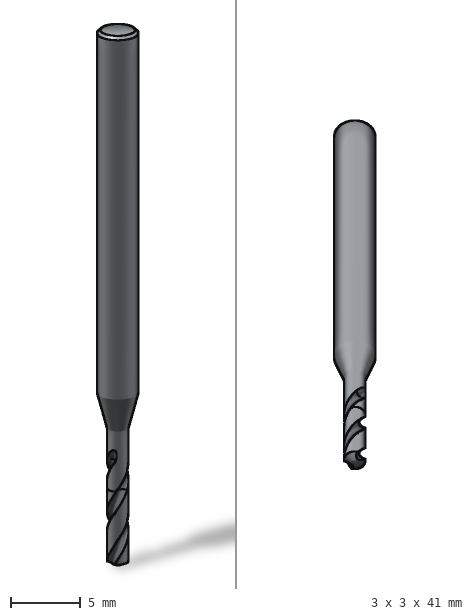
import cadquery as cq
import math

TOTAL_LENGTH = 41.0
SHANK_RADIUS = 3.0 / 2
SHANK_CHAMFER = 0.25
SHANK_BOTTOM = 13.25
NECK_TOP = 10.55
DRILL_RADIUS = 1.55 / 2
HEAD_TOP = 5.95
POINT_HEIGHT = 0.35

FLUTE_COUNT = 2
FLUTE_PITCH = 7.8
FLUTE_TIP_ANGLE = 93.0
FLUTE_RADIUS = 0.45
FLUTE_TOP = 8.2
FLUTE_OVERSHOOT = 0.4
RUNOUT_LENGTH = 0.9
RUNOUT_CUTTER_LENGTH = 2 * RUNOUT_LENGTH


def flute_angle(z):
    """Angle of the first flute about Z at height z, in degrees."""
    return FLUTE_TIP_ANGLE + 360 * z / FLUTE_PITCH


def flute_centre(angle, z):
    a = math.radians(angle)
    return cq.Vector(DRILL_RADIUS * math.cos(a), DRILL_RADIUS * math.sin(a), z)


def flute_section(angle, z):
    circle = cq.Edge.makeCircle(FLUTE_RADIUS, flute_centre(angle, z), cq.Vector(0, 0, 1))
    return cq.Wire.assembleEdges([circle])


def make_helical_flute(offset):
    """Full-depth flute from below the tip to FLUTE_TOP."""
    bottom = -FLUTE_OVERSHOOT
    centre = flute_centre(flute_angle(bottom) + offset, bottom)
    length = FLUTE_TOP - bottom
    return (
        cq.Workplane("XY", origin=(0, 0, bottom))
        .center(centre.x, centre.y)
        .circle(FLUTE_RADIUS)
        .center(-centre.x, -centre.y)
        .twistExtrude(length, 360 * length / FLUTE_PITCH)
    )


def make_runout(offset):
    """Straight continuation of a flute that leans outward until it leaves the neck."""
    angle = flute_angle(FLUTE_TOP) + offset
    a = math.radians(angle)
    radial = cq.Vector(math.cos(a), math.sin(a), 0)
    tangent = cq.Vector(-math.sin(a), math.cos(a), 0)
    sideways = 2 * math.pi * DRILL_RADIUS / FLUTE_PITCH * RUNOUT_LENGTH
    clear_distance = DRILL_RADIUS + FLUTE_RADIUS
    outward = math.sqrt(clear_distance ** 2 - sideways ** 2) - DRILL_RADIUS
    climb = tangent * sideways + radial * outward + cq.Vector(0, 0, RUNOUT_LENGTH)
    direction = climb * (RUNOUT_CUTTER_LENGTH / RUNOUT_LENGTH)
    return cq.Solid.extrudeLinear(flute_section(angle, FLUTE_TOP), [], direction)


def make_shank_blank():
    """Chamfered shank, taper and neck, down to the joint with the cutting head."""
    return (
        cq.Workplane("XZ")
        .moveTo(0, HEAD_TOP)
        .lineTo(DRILL_RADIUS, HEAD_TOP)
        .lineTo(DRILL_RADIUS, NECK_TOP)
        .lineTo(SHANK_RADIUS, SHANK_BOTTOM)
        .lineTo(SHANK_RADIUS, TOTAL_LENGTH - SHANK_CHAMFER)
        .lineTo(SHANK_RADIUS - SHANK_CHAMFER, TOTAL_LENGTH)
        .lineTo(0, TOTAL_LENGTH)
        .close()
        .revolve(360, (0, 0, 0), (0, 1, 0))
    )


def make_head_blank():
    """Cylinder with a conical point."""
    return (
        cq.Workplane("XZ")
        .moveTo(0, 0)
        .lineTo(DRILL_RADIUS, POINT_HEIGHT)
        .lineTo(DRILL_RADIUS, HEAD_TOP)
        .lineTo(0, HEAD_TOP)
        .close()
        .revolve(360, (0, 0, 0), (0, 1, 0))
    )


shank = make_shank_blank()
cutting_head = make_head_blank()
for i in range(FLUTE_COUNT):
    flute_offset = 360 * i / FLUTE_COUNT
    helical_flute = make_helical_flute(flute_offset)
    cutting_head = cutting_head.cut(helical_flute)
    shank = shank.cut(helical_flute).cut(cq.Workplane(make_runout(flute_offset)))

result = cq.Compound.makeCompound([shank.val(), cutting_head.val()])